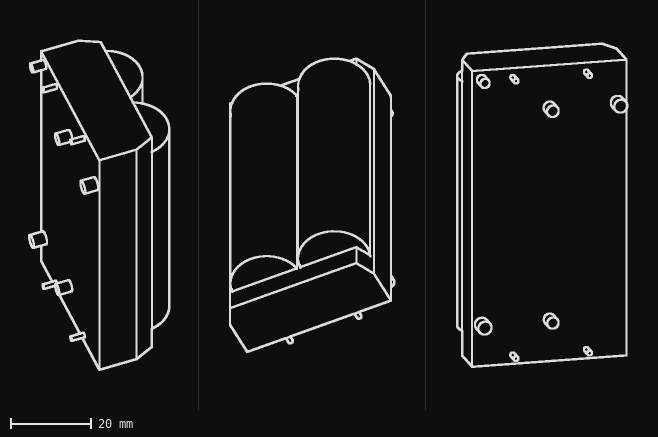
import cadquery as cq

HOUSING_WIDTH = 39.8
HOUSING_DEPTH = 15.0
HOUSING_HEIGHT = 77.05
BEVEL_WIDTH = 2.5
BEVEL_DEPTH = 5.0

CYLINDER_DIAMETER = 18.0
CYLINDER_LENGTH = 65.05
LEFT_CYLINDER_X = (CYLINDER_DIAMETER - HOUSING_WIDTH) / 2
RIGHT_CYLINDER_X = 7.9
LEFT_CYLINDER_Y = 14.0
RIGHT_CYLINDER_Y = 13.8
CYLINDER_AXES = [
    (LEFT_CYLINDER_X, LEFT_CYLINDER_Y),
    (RIGHT_CYLINDER_X, RIGHT_CYLINDER_Y),
]

PIN_LENGTH = 3.5
SIDE_PIN_X = 17.5
MIDDLE_PIN_Z = 27.6
END_PIN_Z = 36.15
THIN_PIN_X = 9.5
THIN_PIN_DIAMETER = 1.2
CORNER_PIN_DIAMETER = 2.4
LOWER_CENTRE_PIN_DIAMETER = 2.9
UPPER_CENTRE_PIN_DIAMETER = 3.0
SIDE_PIN_DIAMETER = 3.4

PINS = [
    (-SIDE_PIN_X, END_PIN_Z, CORNER_PIN_DIAMETER),
    (0, MIDDLE_PIN_Z, UPPER_CENTRE_PIN_DIAMETER),
    (0, -MIDDLE_PIN_Z, LOWER_CENTRE_PIN_DIAMETER),
    (SIDE_PIN_X, MIDDLE_PIN_Z, SIDE_PIN_DIAMETER),
    (-SIDE_PIN_X, -MIDDLE_PIN_Z, SIDE_PIN_DIAMETER),
]
for x_side in (-1, 1):
    for z_side in (-1, 1):
        PINS.append((x_side * THIN_PIN_X, z_side * END_PIN_Z, THIN_PIN_DIAMETER))


def make_cylinder(x, y):
    """Plain round cylinder standing on a vertical axis, centred on Z = 0."""
    return cq.Workplane("XY").cylinder(CYLINDER_LENGTH, CYLINDER_DIAMETER / 2).translate((x, y, 0))


def make_pin(x, z, diameter):
    """Round pin standing out of the front face towards -Y."""
    return cq.Workplane("XZ").center(x, z).circle(diameter / 2).extrude(PIN_LENGTH)


def make_block():
    """Block with both back edges bevelled along its full height."""
    half_width = HOUSING_WIDTH / 2
    bevel_start = HOUSING_DEPTH - BEVEL_DEPTH
    back_half_width = half_width - BEVEL_WIDTH
    outline = [
        (-half_width, 0),
        (half_width, 0),
        (half_width, bevel_start),
        (back_half_width, HOUSING_DEPTH),
        (-back_half_width, HOUSING_DEPTH),
        (-half_width, bevel_start),
    ]
    return cq.Workplane("XY").polyline(outline).close().extrude(HOUSING_HEIGHT / 2, both=True)


def make_housing(cylinders):
    """Block with its pins and a matching recess for each cylinder."""
    housing = make_block()
    for cylinder in cylinders:
        housing = housing.cut(cylinder)
    for x, z, diameter in PINS:
        housing = housing.union(make_pin(x, z, diameter))
    return housing


cylinders = [make_cylinder(x, y) for x, y in CYLINDER_AXES]
housing = make_housing(cylinders)

result = cq.Compound.makeCompound([housing.solids().val(), *[cylinder.val() for cylinder in cylinders]])